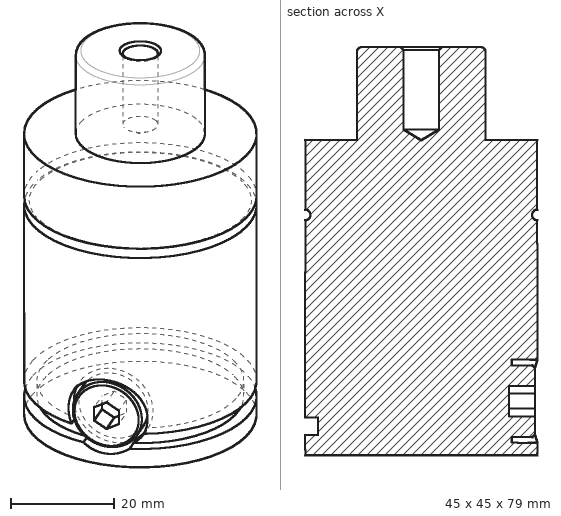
import cadquery as cq
import math

body_diameter = 45.0
body_height = 61.0

rod_diameter = 25.0
total_height = 79.0
rod_edge_radius = 1.0

rod_hole_diameter = 6.8
rod_hole_mouth_diameter = 8.0
rod_hole_depth = 16.0
drill_point_angle = 118.0

round_groove_radius = 1.0
round_groove_height = 46.5

clamp_groove_diameter = 40.0
flange_thickness = 4.0
clamp_groove_top = 7.3

plug_height = 10.5
plug_bore_diameter = 16.0
plug_diameter = 14.0
plug_recess = 0.5
plug_chamfer = 0.5
plug_bore_depth = 5.0
hex_across_flats = 5.0
hex_depth = 5.0

body_radius = body_diameter / 2
plug_face_y = -body_radius + plug_recess
plug_bore_floor_y = -body_radius + plug_bore_depth


def make_body():
    """Revolved body with the base flange, clamping groove and half-round groove."""
    clamp_groove_radius = clamp_groove_diameter / 2
    profile = (
        cq.Workplane("XZ")
        .lineTo(body_radius, 0)
        .lineTo(body_radius, flange_thickness)
        .lineTo(clamp_groove_radius, flange_thickness)
        .lineTo(clamp_groove_radius, clamp_groove_top)
        .lineTo(body_radius, clamp_groove_top)
        .lineTo(body_radius, round_groove_height - round_groove_radius)
        .threePointArc(
            (body_radius - round_groove_radius, round_groove_height),
            (body_radius, round_groove_height + round_groove_radius),
        )
        .lineTo(body_radius, body_height)
        .lineTo(0, body_height)
        .close()
    )
    return profile.revolve(360, (0, 0, 0), (0, 1, 0))


def make_rod():
    """Piston rod with a rounded end edge."""
    rod = (
        cq.Workplane("XY", origin=(0, 0, body_height))
        .circle(rod_diameter / 2)
        .extrude(total_height - body_height)
    )
    return rod.faces(">Z").edges().fillet(rod_edge_radius)


def make_rod_hole():
    """Blind drilled hole with a 45 degree countersunk mouth and a drill point."""
    hole_radius = rod_hole_diameter / 2
    mouth_radius = rod_hole_mouth_diameter / 2
    hole_bottom = total_height - rod_hole_depth
    point_length = hole_radius / math.tan(math.radians(drill_point_angle / 2))
    profile = (
        cq.Workplane("XZ")
        .moveTo(0, total_height)
        .lineTo(mouth_radius, total_height)
        .lineTo(hole_radius, total_height - (mouth_radius - hole_radius))
        .lineTo(hole_radius, hole_bottom)
        .lineTo(0, hole_bottom - point_length)
        .close()
    )
    return profile.revolve(360, (0, 0, 0), (0, 1, 0))


def radial_plane(y):
    """Workplane at the plug height whose normal points outward along -Y."""
    return cq.Workplane("XZ", origin=(0, y, plug_height))


def make_plug_bore():
    """Radial bore that leaves a ring gap around the plug."""
    return radial_plane(plug_bore_floor_y).circle(plug_bore_diameter / 2).extrude(plug_bore_depth)


def make_plug():
    """Chamfered plug with a hexagon socket, two corners pointing up and down."""
    plug = (
        radial_plane(plug_bore_floor_y)
        .circle(plug_diameter / 2)
        .extrude(plug_bore_floor_y - plug_face_y)
    )
    return plug.faces("<Y").edges().chamfer(plug_chamfer)


def make_hex_socket():
    """Hexagon socket cut inward from the plug face."""
    across_corners = hex_across_flats / math.cos(math.radians(30))
    return (
        radial_plane(plug_face_y)
        .transformed(rotate=(0, 0, 90))
        .polygon(6, across_corners)
        .extrude(-hex_depth)
    )


cylinder = make_body().union(make_rod()).cut(make_rod_hole())
result = cylinder.cut(make_plug_bore()).union(make_plug()).cut(make_hex_socket())